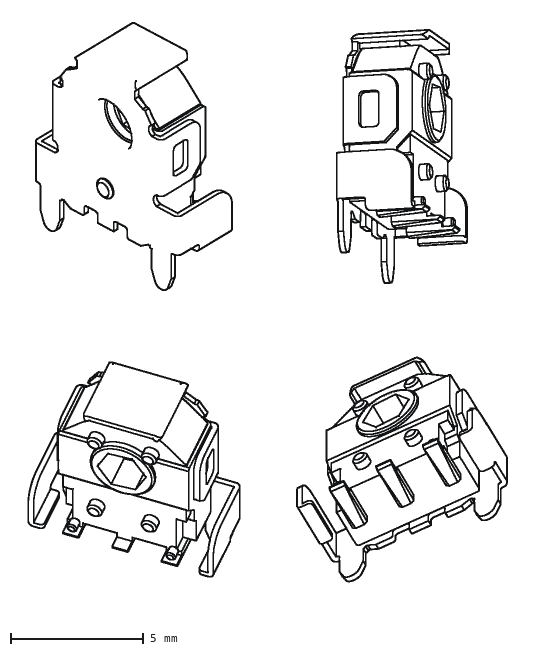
import cadquery as cq
import math


EAR_TOP = 0.79
EAR_BOTTOM = -1.80

SHEET = 0.22
BEND_RADIUS = 0.25
PLATE_TOP = 2.75
PLATE_BOTTOM = -4.51
NECK_HALF_WIDTH = 1.5
PLATE_HALF_WIDTH = 2.635
LOWER_RELIEF_X = 2.476
UPPER_RELIEF_START = (2.40, EAR_TOP)
UPPER_RELIEF_MID = (2.227, 1.04)
UPPER_RELIEF_END = (2.305, 1.24)
PLATE_SHOULDER = [
    (2.388, 1.28),
    (2.31, 1.38),
    (2.04, 1.80),
    (1.92, 1.82),
    (NECK_HALF_WIDTH, 2.08),
]

TAB_DEPTH = 3.0
TAB_TOP_HALF_WIDTH = 1.38
TAB_LIP_DROP = 0.22
TAB_CORNER_RADIUS = 0.3
LIP_BEND_RADIUS = 0.1

EAR_DEPTH = 2.165
EAR_CORNER_RADIUS = 0.53
EAR_CHAMFER = 0.49
EAR_OUTER_X = 2.88
FIT_OVERLAP = 0.025
WINDOW_Y = (0.68, 1.47)
WINDOW_Z = (-1.205, 0.195)
WINDOW_RADIUS = 0.18

WING_OUTER_X = 3.75
WING_BEND_RADIUS = SHEET
WING_TOP = -2.315
WING_STEP_Z = -4.10
WING_DEPTH = 3.0
WING_CORNER_RADIUS = 0.87
FLANGE_BOTTOM = -4.51
FLANGE_START_Y = 1.18
FLANGE_INNER_X = 3.14
FLANGE_CORNER_RADIUS = 0.15
STEP_FILLET = 0.13

LEG_X = 2.885
LEG_HALF_WIDTH = 0.51
LEG_TAPER_Z = -5.30
LEG_TIP_HALF_WIDTH = 0.335
LEG_TIP_Z = -5.776
LEG_END_Z = -6.01
LEG_FILLET = 0.1

NOTCH_INNER_X = 0.414
NOTCH_OUTER_X = 1.108
NOTCH_TOP = -4.017
NOTCH_RADIUS = 0.12
SHOULDER_X = 1.83
SHOULDER_Z = -4.29

HOUSING_RADIUS = 2.51
HOUSING_HALF_WIDTH = 2.5
HOUSING_TOP = 2.215
HOUSING_CHAMFER = 0.09
HOUSING_DEPTH = 2.6
HOUSING_WAIST_Z = -2.21
HOUSING_LOWER_HALF_WIDTH = 2.1
HOUSING_BOTTOM = -4.0
CHEEK_FRONT = 0.19
CHEEK_CHAMFER = 0.1
CHEEK_TOP = 0.986
CHEEK_DEPTH = 2.715
CHEEK_MID_DEPTH = 2.106
CHEEK_LOW_DEPTH = 1.9
CHEEK_MID_Z = -1.39
CHEEK_LOW_Z = -2.63
CHEEK_CORNER_RADIUS = 0.16
SPACER_HALF_WIDTH = 1.2
SPACER_DEPTH = 1.8

RIM_RADIUS = 1.565
BORE_RADIUS = 1.08
SOCKET_RADIUS = 1.035
BORE_END_Y = 1.10
SOCKET_START_Y = 1.17
HEX_START_Y = 1.54
HEX_RADIUS = 0.985
HEX_ANGLE = -4.5
HUB_RADIUS = 1.3
HUB_DEPTH = 2.9
HUB_CHAMFER = 0.08

RIVET_Z = -2.715
RIVET_RADIUS = 0.415
RIVET_TIP_RADIUS = 0.3
RIVET_HEIGHT = 0.15
RIVET_RIM = 0.05
POST_X = 1.1
POST_Z = (1.205, -2.69)
POST_RADIUS = 0.3
POST_CHAMFER = 0.09
PEG_X = 2.0
PEG_Z = -4.03
PEG_RADIUS = 0.19
PEG_CHAMFER = 0.06
POST_DEPTH = 3.0
TERMINAL_WIDTH = 0.62
TERMINAL_FRONT = 1.2
TERMINAL_DEPTH = 3.12
TERMINAL_TIP_TOP = -4.22
TERMINAL_BOTTOM = -4.5
TERMINAL_EDGE_CHAMFER = 0.13
TERMINAL_TIP_CHAMFER = 0.12


def front_sketch(y=0.0):
    """Workplane with local axes X and Z; negative extrusions run toward +Y."""
    return cq.Workplane(cq.Plane(origin=(0, y, 0), xDir=(1, 0, 0), normal=(0, -1, 0)))


def block(x_range, y_range, z_range):
    size = [high - low for low, high in (x_range, y_range, z_range)]
    corner = (x_range[0], y_range[0], z_range[0])
    return cq.Workplane("XY").box(*size, centered=False).translate(corner)


def side_profile(points, x_range):
    """Extrude a (y, z) outline over a range of X."""
    outline = cq.Workplane("YZ", origin=(x_range[0], 0, 0)).polyline(points).close()
    return outline.extrude(x_range[1] - x_range[0])


def both_sides(shape):
    return shape.union(shape.mirror("YZ"))


def make_half_plate():
    leg_inner = LEG_X - LEG_HALF_WIDTH
    leg_outer = LEG_X + LEG_HALF_WIDTH
    wing_bend_x = WING_OUTER_X - WING_BEND_RADIUS
    shoulder_start = leg_inner - 2 * LEG_FILLET
    outline = (
        front_sketch()
        .moveTo(0, PLATE_BOTTOM)
        .lineTo(NOTCH_INNER_X, PLATE_BOTTOM)
        .lineTo(NOTCH_INNER_X, NOTCH_TOP - NOTCH_RADIUS)
        .radiusArc((NOTCH_INNER_X + NOTCH_RADIUS, NOTCH_TOP), NOTCH_RADIUS)
        .lineTo(NOTCH_OUTER_X - NOTCH_RADIUS, NOTCH_TOP)
        .radiusArc((NOTCH_OUTER_X, NOTCH_TOP - NOTCH_RADIUS), NOTCH_RADIUS)
        .lineTo(NOTCH_OUTER_X, PLATE_BOTTOM + NOTCH_RADIUS)
        .radiusArc((NOTCH_OUTER_X + NOTCH_RADIUS, PLATE_BOTTOM), -NOTCH_RADIUS)
        .lineTo(SHOULDER_X, PLATE_BOTTOM)
        .lineTo(shoulder_start, SHOULDER_Z)
        .lineTo(leg_inner - LEG_FILLET, SHOULDER_Z)
        .radiusArc((leg_inner, SHOULDER_Z - LEG_FILLET), -LEG_FILLET)
        .lineTo(leg_inner, LEG_TAPER_Z)
        .lineTo(LEG_X - LEG_TIP_HALF_WIDTH, LEG_TIP_Z)
        .threePointArc((LEG_X, LEG_END_Z), (LEG_X + LEG_TIP_HALF_WIDTH, LEG_TIP_Z))
        .lineTo(leg_outer, LEG_TAPER_Z)
        .lineTo(leg_outer, WING_STEP_Z - LEG_FILLET)
        .radiusArc((leg_outer + LEG_FILLET, WING_STEP_Z), LEG_FILLET)
        .lineTo(wing_bend_x, WING_STEP_Z)
        .lineTo(wing_bend_x, WING_TOP)
        .lineTo(PLATE_HALF_WIDTH, WING_TOP)
        .threePointArc((LOWER_RELIEF_X, (WING_TOP + EAR_BOTTOM) / 2), (PLATE_HALF_WIDTH, EAR_BOTTOM))
        .lineTo(PLATE_HALF_WIDTH, EAR_TOP)
        .lineTo(*UPPER_RELIEF_START)
        .threePointArc(UPPER_RELIEF_MID, UPPER_RELIEF_END)
        .polyline(PLATE_SHOULDER, includeCurrent=True)
        .lineTo(NECK_HALF_WIDTH, PLATE_TOP - BEND_RADIUS)
        .lineTo(0, PLATE_TOP - BEND_RADIUS)
        .close()
    )
    return outline.extrude(-SHEET)


def make_tab():
    """Top tab: flat with two lips bent down at 45 degrees and a rounded front bend."""
    normal_step = SHEET * math.sin(math.pi / 4)
    tip_x = TAB_TOP_HALF_WIDTH + TAB_LIP_DROP
    tip_z = PLATE_TOP - TAB_LIP_DROP
    underside_z = PLATE_TOP - SHEET
    inner_x = tip_x - normal_step - (underside_z - (tip_z - normal_step))
    half_section = [
        (TAB_TOP_HALF_WIDTH, PLATE_TOP),
        (tip_x, tip_z),
        (tip_x - normal_step, tip_z - normal_step),
        (inner_x, underside_z),
    ]
    mirrored = [(-x, z) for x, z in reversed(half_section)]
    strip = front_sketch().polyline(half_section + mirrored).close().extrude(-TAB_DEPTH)
    strip = strip.faces(">Z").edges("|Y").fillet(LIP_BEND_RADIUS)
    envelope = (
        block((-tip_x, tip_x), (0, TAB_DEPTH), (0, PLATE_TOP))
        .edges("|Z and >Y")
        .fillet(TAB_CORNER_RADIUS)
        .edges("|X and <Y and >Z")
        .fillet(BEND_RADIUS)
    )
    neck = block(
        (-TAB_TOP_HALF_WIDTH, TAB_TOP_HALF_WIDTH), (0, SHEET), (PLATE_TOP - BEND_RADIUS, PLATE_TOP)
    )
    return strip.union(neck).intersect(envelope)


def make_ear():
    """Ear on the +X side, with its bend and window."""
    ear = block((EAR_OUTER_X - SHEET - FIT_OVERLAP, EAR_OUTER_X), (0, EAR_DEPTH), (EAR_BOTTOM, EAR_TOP))
    ear = ear.edges("|Z and >X and <Y").fillet(BEND_RADIUS - FIT_OVERLAP)
    ear = ear.edges("|X and >Y and >Z").fillet(EAR_CORNER_RADIUS)
    ear = ear.edges("|X and >Y and <Z").chamfer(EAR_CHAMFER)
    window = block((PLATE_HALF_WIDTH, EAR_OUTER_X), WINDOW_Y, WINDOW_Z).edges("|X").fillet(WINDOW_RADIUS)
    return ear.cut(window)


def make_wing():
    """Wing on the +X side: a bent wall with a flange turned inward along its bottom edge."""
    inner_x = WING_OUTER_X - SHEET
    wall = block((inner_x, WING_OUTER_X), (0, WING_DEPTH), (WING_STEP_Z, WING_TOP))
    wall = wall.edges("|X and >Y and >Z").fillet(WING_CORNER_RADIUS)
    foot = block((inner_x, WING_OUTER_X), (FLANGE_START_Y, WING_DEPTH), (FLANGE_BOTTOM, WING_STEP_Z))
    corner = block(
        (inner_x, WING_OUTER_X),
        (FLANGE_START_Y - STEP_FILLET, FLANGE_START_Y),
        (WING_STEP_Z - STEP_FILLET, WING_STEP_Z),
    )
    corner = corner.cut(
        cq.Workplane("YZ", origin=(inner_x, FLANGE_START_Y - STEP_FILLET, WING_STEP_Z - STEP_FILLET))
        .circle(STEP_FILLET)
        .extrude(SHEET)
    )
    flange = block(
        (FLANGE_INNER_X, WING_OUTER_X), (FLANGE_START_Y, WING_DEPTH), (FLANGE_BOTTOM, FLANGE_BOTTOM + SHEET)
    )
    flange = flange.edges("|Z and <X").fillet(FLANGE_CORNER_RADIUS)
    bend_x = WING_OUTER_X - WING_BEND_RADIUS
    root = block((bend_x, WING_OUTER_X), (0, SHEET), (WING_STEP_Z, WING_TOP))
    wing = wall.union(foot).union(corner).union(flange).union(root)
    wing = wing.intersect(
        block((FLANGE_INNER_X, WING_OUTER_X), (0, WING_DEPTH), (FLANGE_BOTTOM, WING_TOP))
        .edges("|Z and >X and <Y")
        .fillet(WING_BEND_RADIUS)
        .edges("|Y and >X and <Z")
        .fillet(WING_BEND_RADIUS)
    )
    return wing


def make_housing():
    """Insulating housing: round crown, side cheeks, and a narrower lower block."""
    tangent = HOUSING_RADIUS * math.sin(math.pi / 4)
    flat_end_z = 2 * tangent - HOUSING_HALF_WIDTH
    crown_x = math.sqrt(HOUSING_RADIUS**2 - HOUSING_TOP**2)
    crown = (
        front_sketch(SHEET)
        .moveTo(-HOUSING_HALF_WIDTH, HOUSING_WAIST_Z)
        .lineTo(-HOUSING_HALF_WIDTH, flat_end_z)
        .lineTo(-tangent, tangent)
        .radiusArc((-crown_x, HOUSING_TOP), HOUSING_RADIUS)
        .lineTo(crown_x, HOUSING_TOP)
        .radiusArc((tangent, tangent), HOUSING_RADIUS)
        .lineTo(HOUSING_HALF_WIDTH, flat_end_z)
        .lineTo(HOUSING_HALF_WIDTH, HOUSING_WAIST_Z)
        .close()
        .extrude(SHEET - HOUSING_DEPTH)
        .faces("<Y")
        .edges()
        .chamfer(HOUSING_CHAMFER)
    )
    lower = block(
        (-HOUSING_LOWER_HALF_WIDTH, HOUSING_LOWER_HALF_WIDTH),
        (SHEET, HOUSING_DEPTH),
        (HOUSING_BOTTOM, HOUSING_WAIST_Z),
    )
    cheek_outline = [
        (CHEEK_FRONT, HOUSING_BOTTOM),
        (CHEEK_LOW_DEPTH, HOUSING_BOTTOM),
        (CHEEK_LOW_DEPTH, CHEEK_LOW_Z - (CHEEK_MID_DEPTH - CHEEK_LOW_DEPTH)),
        (CHEEK_MID_DEPTH, CHEEK_LOW_Z),
        (CHEEK_MID_DEPTH, CHEEK_MID_Z - (CHEEK_DEPTH - CHEEK_MID_DEPTH)),
        (CHEEK_DEPTH, CHEEK_MID_Z),
        (CHEEK_DEPTH, CHEEK_TOP - CHEEK_CHAMFER),
        (CHEEK_DEPTH - CHEEK_CHAMFER, CHEEK_TOP),
        (CHEEK_FRONT, CHEEK_TOP),
    ]
    cheeks = side_profile(cheek_outline, (-PLATE_HALF_WIDTH, PLATE_HALF_WIDTH))
    cheeks = cheeks.edges("|Z and <Y").fillet(CHEEK_CORNER_RADIUS)
    spacer = block(
        (-SPACER_HALF_WIDTH, SPACER_HALF_WIDTH), (SHEET, SPACER_DEPTH), (HOUSING_TOP, PLATE_TOP - SHEET)
    )
    return crown.union(lower).union(cheeks).union(spacer)


def make_hub():
    hub = front_sketch(HOUSING_DEPTH).circle(HUB_RADIUS).extrude(HOUSING_DEPTH - HUB_DEPTH)
    return hub.faces(">Y").edges().chamfer(HUB_CHAMFER)


def make_bore():
    """Flared bore, short cone, socket and the hexagonal through hole."""
    flare = RIM_RADIUS - BORE_RADIUS
    flare_mid = flare * (1 - math.sin(math.pi / 4))
    bore = (
        cq.Workplane("XY")
        .moveTo(0, 0)
        .lineTo(RIM_RADIUS, 0)
        .threePointArc((BORE_RADIUS + flare_mid, flare_mid), (BORE_RADIUS, flare))
        .lineTo(BORE_RADIUS, BORE_END_Y)
        .lineTo(SOCKET_RADIUS, SOCKET_START_Y)
        .lineTo(SOCKET_RADIUS, HEX_START_Y)
        .lineTo(0, HEX_START_Y)
        .close()
        .revolve(360, (0, 0, 0), (0, 1, 0))
    )
    hexagon = front_sketch().polygon(6, 2 * HEX_RADIUS).extrude(-HUB_DEPTH)
    return bore.union(hexagon.rotate((0, 0, 0), (0, 1, 0), -HEX_ANGLE))


def make_rivet_head():
    return (
        cq.Workplane("XY")
        .polyline(
            [
                (0, 0),
                (RIVET_RADIUS, 0),
                (RIVET_RADIUS, -RIVET_RIM),
                (RIVET_TIP_RADIUS, -RIVET_HEIGHT),
                (0, -RIVET_HEIGHT),
            ]
        )
        .close()
        .revolve(360, (0, 0, 0), (0, 1, 0))
        .translate((0, 0, RIVET_Z))
    )


def make_pin(x, z, radius, chamfer):
    """Round pin with a chamfered tip on the rear of the housing."""
    pin = front_sketch(HOUSING_DEPTH).center(x, z).circle(radius).extrude(HOUSING_DEPTH - POST_DEPTH)
    return pin.faces(">Y").edges().chamfer(chamfer)


def make_pins():
    posts = [make_pin(x, z, POST_RADIUS, POST_CHAMFER) for x in (-POST_X, POST_X) for z in POST_Z]
    pegs = [make_pin(x, PEG_Z, PEG_RADIUS, PEG_CHAMFER) for x in (-PEG_X, PEG_X)]
    return posts + pegs


def make_terminals():
    """Three flat terminals under the housing, with bevelled tips and lower edges."""
    outline = [
        (TERMINAL_FRONT, TERMINAL_BOTTOM),
        (TERMINAL_DEPTH - TERMINAL_TIP_CHAMFER, TERMINAL_BOTTOM + TERMINAL_TIP_CHAMFER),
        (TERMINAL_DEPTH, TERMINAL_TIP_TOP - TERMINAL_TIP_CHAMFER / 2),
        (TERMINAL_DEPTH, TERMINAL_TIP_TOP),
        (HOUSING_DEPTH, TERMINAL_TIP_TOP),
        (HOUSING_DEPTH, HOUSING_BOTTOM),
        (TERMINAL_FRONT, HOUSING_BOTTOM),
    ]
    bars = []
    for x in (-PEG_X, 0, PEG_X):
        bar = side_profile(outline, (x - TERMINAL_WIDTH / 2, x + TERMINAL_WIDTH / 2))
        side_bevel = (
            front_sketch()
            .rect(TERMINAL_WIDTH, 2 * (HOUSING_BOTTOM - TERMINAL_BOTTOM))
            .extrude(-TERMINAL_DEPTH)
            .edges("|Y")
            .chamfer(TERMINAL_EDGE_CHAMFER)
            .translate((x, 0, HOUSING_BOTTOM))
        )
        bars.append(bar.intersect(side_bevel))
    return bars


result = both_sides(make_half_plate().union(make_ear()).union(make_wing()))
for piece in (make_tab(), make_housing(), make_hub(), *make_pins(), *make_terminals()):
    result = result.union(piece)
result = result.cut(make_bore()).union(make_rivet_head())